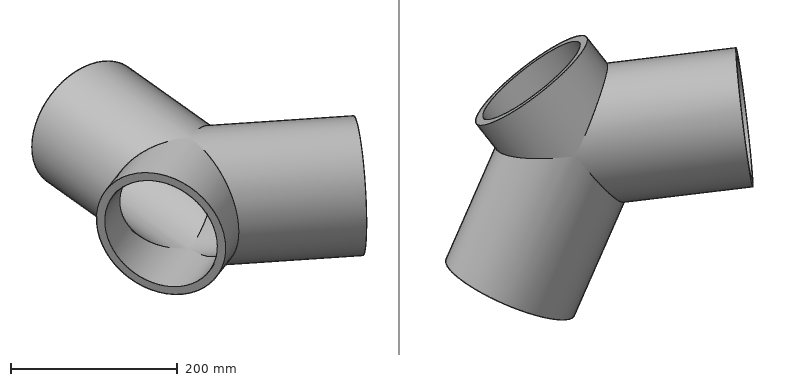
import cadquery as cq
import math

outer_diameter = 168.5
bore_diameter = 146.5
arm_length = 203.0
stem_length = 89.0

stem_angle = -90
branch_spacing = 120
branches = [
    (stem_angle, stem_length),
    (stem_angle + branch_spacing, arm_length),
    (stem_angle - branch_spacing, arm_length),
]


def mitred_branch(diameter, angle, length):
    """Cylinder along one branch, trimmed to its own 120 degree sector."""
    cylinder = (
        cq.Workplane("YZ")
        .circle(diameter / 2)
        .extrude(length + diameter, both=True)
    )
    half_width = length * math.tan(math.radians(branch_spacing / 2))
    sector = (
        cq.Workplane("XY")
        .polyline([(0, 0), (length, -half_width), (length, half_width)])
        .close()
        .extrude(diameter, both=True)
    )
    return cylinder.intersect(sector).rotate((0, 0, 0), (0, 0, 1), angle)


def joined_branches(diameter):
    """Three mitred cylinders fused at the junction."""
    body = cq.Workplane("XY")
    for angle, length in branches:
        body = body.add(mitred_branch(diameter, angle, length))
    return body.combine()


result = joined_branches(outer_diameter).cut(joined_branches(bore_diameter))